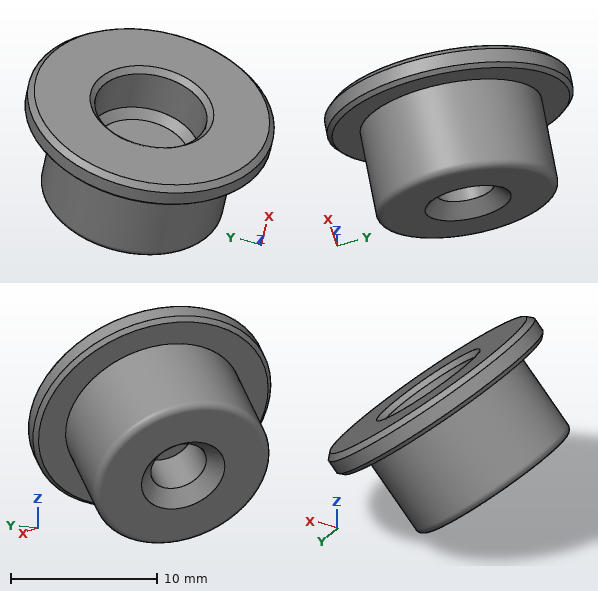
import cadquery as cq

tilt_angle = 40.0

total_height = 8.2
flange_diameter = 17.15
flange_thickness = 1.7
flange_top_chamfer = 0.4
flange_underside_chamfer = 0.3
body_diameter = 12.65
body_bottom_fillet = 0.5

socket_diameter = 7.8
socket_depth = 4.0
socket_mouth_chamfer = 0.4
socket_floor_chamfer = 0.6

web_thickness = 0.2
hole_diameter = 4.0
hole_depth = total_height - socket_depth - web_thickness
hole_mouth_chamfer = 1.0


def disc(diameter, bottom, height):
    """Upright cylinder on the axis, starting at the given height."""
    return cq.Workplane("XY").workplane(offset=bottom).circle(diameter / 2).extrude(height)


def make_body():
    """Cylindrical body with a rounded bottom edge, standing on Z = 0."""
    return disc(body_diameter, 0, total_height).faces("<Z").edges().fillet(body_bottom_fillet)


def make_flange():
    """Flange at the top end, chamfered on both rims."""
    flange = disc(flange_diameter, total_height - flange_thickness, flange_thickness)
    flange = flange.faces(">Z").edges().chamfer(flange_top_chamfer)
    return flange.faces("<Z").edges().chamfer(flange_underside_chamfer)


def cut_socket(plug):
    """Socket with a sloped corner at its floor and a chamfered mouth."""
    socket = disc(socket_diameter, total_height - socket_depth, socket_depth)
    socket = socket.faces("<Z").edges().chamfer(socket_floor_chamfer)
    mouth_edge = cq.selectors.RadiusNthSelector(0)
    return plug.cut(socket).faces(">Z").edges(mouth_edge).chamfer(socket_mouth_chamfer)


def cut_hole(plug):
    """Blind hole whose mouth is countersunk into the bottom face."""
    hole = disc(hole_diameter, 0, hole_depth)
    mouth_edge = cq.selectors.RadiusNthSelector(0)
    return plug.cut(hole).faces("<Z").edges(mouth_edge).chamfer(hole_mouth_chamfer)


plug = make_body().union(make_flange())
plug = cut_socket(plug)
plug = cut_hole(plug)

result = plug.translate((0, 0, -total_height)).rotate((0, 0, 0), (0, 1, 0), tilt_angle)